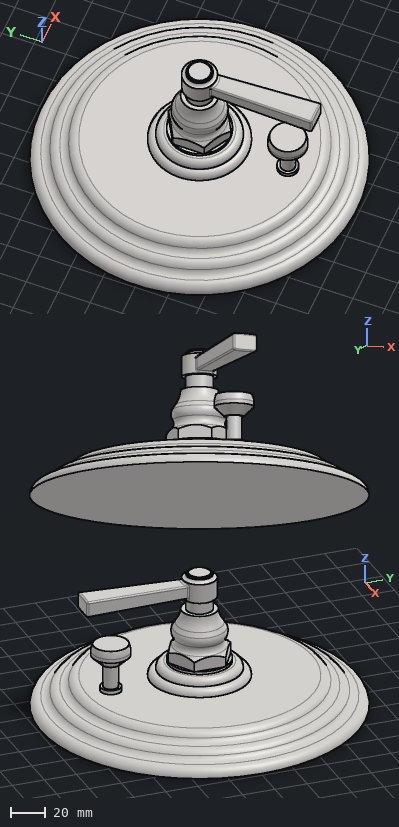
import cadquery as cq
import math

PLATE_RADIUS = 98.5
BEAD_RADIUS = 6.3
OUTER_STEP_RADIUS = 86.8
OUTER_STEP_Z = 9.5
SHELF_RADIUS = 81.1
SHELF_Z = 12.5
INNER_STEP_RADIUS = 76.0
INNER_STEP_Z = 15.5
FACE_RADIUS = 70.0
FACE_Z = 19.0

LOWER_STEP_RADIUS = 30.1
UPPER_STEP_RADIUS = 25.4
STEP_HEIGHT = 4.7
STEP_ROUNDING = 4.5
COLLAR_RADIUS = 19.0
COLLAR_HEIGHT = 1.8

HEX_ACROSS_FLATS = 33.9
HEX_HEIGHT = 8.7
HEX_TOP_RADIUS = 16.3
HEX_BEVEL_SLOPE = 0.85

NECK_RADIUS = 15.0
NECK_Z = 41.7
BULGE_BOTTOM_RADIUS = 15.5
BULGE_BOTTOM_Z = 44.5
BULGE_RADIUS = 16.5
BULGE_Z = 48.2
BULGE_TOP_RADIUS = 16.0
BULGE_TOP_Z = 50.4
BELL_BASE_RADIUS = 14.2
BELL_BASE_Z = 53.3
BELL_MID_RADIUS = 12.0
BELL_MID_Z = 57.3
BONNET_TOP_RADIUS = 11.0
BONNET_TOP_Z = 62.0

STEM_RADIUS = 8.0
HEAD_RADIUS = 10.5
HEAD_BOTTOM_Z = 70.0
HEAD_TOP_Z = 82.0
CAP_RIM_RADIUS = 7.9
CAP_RIM_Z = 84.0
BUTTON_RADIUS = 7.0
BUTTON_CHAMFER = 0.4
TOTAL_HEIGHT = 85.2

LEVER_ROOT_Y = -6.0
LEVER_TIP_Y = -72.8
LEVER_BOTTOM_Z = 71.7
LEVER_ROOT_WIDTH = 10.6
LEVER_TIP_WIDTH = 15.0
LEVER_ROOT_TOP_Z = 80.5
LEVER_TIP_TOP_Z = 82.3
LEVER_CROWN = 0.4
LEVER_ROUNDING = 1.0
LEVER_ROOT_FILLET = 1.2

KNOB_Y = -55.1
KNOB_FOOT_RADIUS = 6.3
KNOB_FOOT_HEIGHT = 2.5
KNOB_ROD_RADIUS = 4.5
KNOB_CONE_BOTTOM_RADIUS = 5.5
KNOB_CONE_BOTTOM_Z = 36.2
KNOB_RADIUS = 11.6
KNOB_BAND_BOTTOM_Z = 42.0
KNOB_BAND_TOP_Z = 44.5
KNOB_TOP_RADIUS = 10.6
KNOB_TOP_Z = 49.0

UPPER_STEP_Z = FACE_Z + STEP_HEIGHT
COLLAR_Z = UPPER_STEP_Z + STEP_HEIGHT
HEX_BOTTOM_Z = COLLAR_Z + COLLAR_HEIGHT
HEX_TOP_Z = HEX_BOTTOM_Z + HEX_HEIGHT
HEX_ACROSS_CORNERS = HEX_ACROSS_FLATS / math.cos(math.pi / 6)


def arc_middle(flat_end, steep_end):
    """Middle (radius, height) of the arc that is level at flat_end and ends at steep_end."""
    run = steep_end[0] - flat_end[0]
    rise = steep_end[1] - flat_end[1]
    radius = (run**2 + rise**2) / (2 * abs(rise))
    half_sweep = math.acos(1 - abs(rise) / radius) / 2
    return (
        flat_end[0] + math.copysign(radius * math.sin(half_sweep), run),
        flat_end[1] + math.copysign(radius * (1 - math.cos(half_sweep)), rise),
    )


def revolve(profile):
    """Turn a closed (radius, height) profile around the Z axis."""
    return profile.close().revolve(360, (0, 0, 0), (0, 1, 0))


def wall_plate():
    bead_top = (PLATE_RADIUS - BEAD_RADIUS, BEAD_RADIUS)
    rim = (PLATE_RADIUS, 0)
    outer_step = (OUTER_STEP_RADIUS, OUTER_STEP_Z)
    shelf = (SHELF_RADIUS, SHELF_Z)
    inner_step = (INNER_STEP_RADIUS, INNER_STEP_Z)
    face_edge = (FACE_RADIUS, FACE_Z)
    return revolve(
        cq.Workplane("XZ")
        .lineTo(*rim)
        .threePointArc(arc_middle(bead_top, rim), bead_top)
        .threePointArc(arc_middle(bead_top, outer_step), outer_step)
        .threePointArc(arc_middle(shelf, outer_step), shelf)
        .threePointArc(arc_middle(shelf, inner_step), inner_step)
        .threePointArc(arc_middle(face_edge, inner_step), face_edge)
        .lineTo(0, FACE_Z)
    )


def rounded_step(radius, bottom_z):
    """Disc whose upper edge is rounded almost down to its base."""
    step = cq.Workplane("XY", origin=(0, 0, bottom_z)).circle(radius)
    return step.extrude(STEP_HEIGHT).faces(">Z").edges().fillet(STEP_ROUNDING)


def escutcheon():
    collar = cq.Workplane("XY", origin=(0, 0, COLLAR_Z)).circle(COLLAR_RADIUS).extrude(COLLAR_HEIGHT)
    lower = rounded_step(LOWER_STEP_RADIUS, FACE_Z)
    upper = rounded_step(UPPER_STEP_RADIUS, UPPER_STEP_Z)
    return lower.union(upper).union(collar)


def hex_nut():
    """Hex prism with its upper corners cut by a cone."""
    nut = (
        cq.Workplane("XY", origin=(0, 0, HEX_BOTTOM_Z))
        .transformed(rotate=(0, 0, 90))
        .polygon(6, HEX_ACROSS_CORNERS)
        .extrude(HEX_HEIGHT)
    )
    bevel_radius = HEX_TOP_RADIUS + HEX_HEIGHT / HEX_BEVEL_SLOPE
    bevel_cone = revolve(
        cq.Workplane("XZ")
        .moveTo(0, HEX_BOTTOM_Z)
        .lineTo(bevel_radius, HEX_BOTTOM_Z)
        .lineTo(HEX_TOP_RADIUS, HEX_TOP_Z)
        .lineTo(0, HEX_TOP_Z)
    )
    return nut.intersect(bevel_cone)


def bonnet():
    return revolve(
        cq.Workplane("XZ")
        .moveTo(0, HEX_TOP_Z)
        .lineTo(HEX_TOP_RADIUS, HEX_TOP_Z)
        .threePointArc((NECK_RADIUS, NECK_Z), (BULGE_BOTTOM_RADIUS, BULGE_BOTTOM_Z))
        .threePointArc((BULGE_RADIUS, BULGE_Z), (BULGE_TOP_RADIUS, BULGE_TOP_Z))
        .lineTo(BELL_BASE_RADIUS, BELL_BASE_Z)
        .threePointArc((BELL_MID_RADIUS, BELL_MID_Z), (BONNET_TOP_RADIUS, BONNET_TOP_Z))
        .lineTo(0, BONNET_TOP_Z)
    )


def stem_and_head():
    head_edge = (HEAD_RADIUS, HEAD_TOP_Z)
    cap_rim = (CAP_RIM_RADIUS, CAP_RIM_Z)
    return revolve(
        cq.Workplane("XZ")
        .moveTo(0, BONNET_TOP_Z)
        .lineTo(STEM_RADIUS, BONNET_TOP_Z)
        .lineTo(STEM_RADIUS, HEAD_BOTTOM_Z)
        .lineTo(HEAD_RADIUS, HEAD_BOTTOM_Z)
        .lineTo(*head_edge)
        .threePointArc(arc_middle(head_edge, cap_rim), cap_rim)
        .lineTo(BUTTON_RADIUS, CAP_RIM_Z)
        .lineTo(BUTTON_RADIUS, TOTAL_HEIGHT - BUTTON_CHAMFER)
        .lineTo(BUTTON_RADIUS - BUTTON_CHAMFER, TOTAL_HEIGHT)
        .lineTo(0, TOTAL_HEIGHT)
    )


def lever_section(y, width, top_z):
    """Lever cross-section with crowned top and bottom."""
    half = width / 2
    left_top = (-half, top_z - LEVER_CROWN)
    left_bottom = (-half, LEVER_BOTTOM_Z + LEVER_CROWN)
    return (
        cq.Workplane("XZ", origin=(0, y, 0))
        .moveTo(*left_bottom)
        .threePointArc((0, LEVER_BOTTOM_Z), (half, left_bottom[1]))
        .lineTo(half, left_top[1])
        .threePointArc((0, top_z), left_top)
        .close()
        .wire()
        .val()
    )


def lever():
    root = lever_section(LEVER_ROOT_Y, LEVER_ROOT_WIDTH, LEVER_ROOT_TOP_Z)
    tip = lever_section(LEVER_TIP_Y, LEVER_TIP_WIDTH, LEVER_TIP_TOP_Z)
    blade = cq.Workplane(cq.Solid.makeLoft([root, tip], True))
    return blade.edges("not >Y").fillet(LEVER_ROUNDING)


def handle():
    """Stem, head and lever, with a fillet where the lever leaves the head."""
    joined = stem_and_head().union(lever())
    root_zone = cq.selectors.BoxSelector(
        (-HEAD_RADIUS, -HEAD_RADIUS - LEVER_ROUNDING, LEVER_BOTTOM_Z - LEVER_ROUNDING),
        (HEAD_RADIUS, LEVER_ROOT_Y, LEVER_ROOT_TOP_Z + LEVER_ROUNDING),
        boundingbox=True,
    )
    return joined.edges(root_zone).fillet(LEVER_ROOT_FILLET)


def diverter_knob():
    profile = (
        cq.Workplane("XZ")
        .moveTo(0, FACE_Z)
        .lineTo(KNOB_FOOT_RADIUS, FACE_Z)
        .lineTo(KNOB_FOOT_RADIUS, FACE_Z + KNOB_FOOT_HEIGHT)
        .lineTo(KNOB_ROD_RADIUS, FACE_Z + KNOB_FOOT_HEIGHT)
        .lineTo(KNOB_ROD_RADIUS, KNOB_CONE_BOTTOM_Z)
        .lineTo(KNOB_CONE_BOTTOM_RADIUS, KNOB_CONE_BOTTOM_Z)
        .lineTo(KNOB_RADIUS, KNOB_BAND_BOTTOM_Z)
        .lineTo(KNOB_RADIUS, KNOB_BAND_TOP_Z)
        .tangentArcPoint((KNOB_TOP_RADIUS, KNOB_TOP_Z), relative=False)
        .lineTo(0, KNOB_TOP_Z)
    )
    return revolve(profile).translate((0, KNOB_Y, 0))


result = wall_plate()
for piece in (escutcheon(), hex_nut(), bonnet(), handle(), diverter_knob()):
    result = result.union(piece)